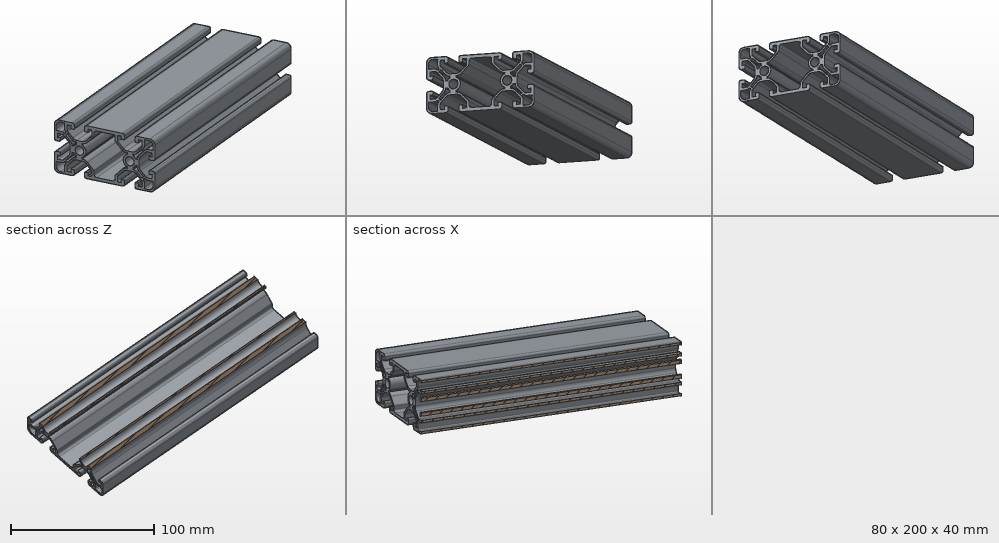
import cadquery as cq
import math

length = 200.0
cell = 40.0
half_cell = cell / 2
outer_radius = 4.0

mouth_half = 4.0
lip_width = 2.8
lip_depth = 4.8
lip_outer_radius = 1.8
lip_tip_radius = 1.0
pocket_half = 9.8
pocket_radius = 1.0
pocket_knee_radius = 1.2
floor_height = 7.5
floor_radius = 4.5
face_thickness = 2.5

side_web = 1.9
slope_web = 0.75
floor_web = 1.5
tie_web = 0.7

corner_wall = 1.5
corner_cavity_radius = 3.5
corner_side_radius = 0.8
corner_knee_radius = 2.2
corner_tie_radius = 0.5
diagonal_spoke_half = 2.5
central_spoke_half = 2.0
central_corner_radius = 2.0
central_knee_radius = 1.2

bore_radius = 3.5
boss_radius = 5.2

root2 = math.sqrt(8)
slope_offset = 3.5
cavity_side = pocket_half + side_web
cavity_slope = slope_offset - slope_web * root2
cavity_knee = cavity_side + cavity_slope
cavity_floor = floor_height - floor_web
cavity_floor_end = cavity_floor - cavity_slope

tie_inner_sum = 20.5
tie_outer_sum = tie_inner_sum + tie_web * root2

shortest_line = 2e-06


def rounded_corner(before, corner, after, radius):
    """Start, middle and end of the arc that rounds one corner."""
    to_before = (before - corner).normalized()
    to_after = (after - corner).normalized()
    half_angle = to_before.getAngle(to_after) / 2
    setback = radius / math.tan(half_angle)
    bisector = (to_before + to_after).normalized()
    middle = corner + bisector * (radius / math.sin(half_angle) - radius)
    return corner + to_before * setback, middle, corner + to_after * setback


def rounded_prism(corners):
    """Prism along Y over a closed polygon of (x, z, corner radius) entries, the first one sharp."""
    points = [cq.Vector(x, z) for x, z, _ in corners]
    position = points[0]
    outline = cq.Workplane("XZ").moveTo(position.x, position.y)
    for i in range(1, len(corners)):
        radius = corners[i][2]
        start = middle = end = points[i]
        if radius > 0:
            following = points[(i + 1) % len(points)]
            start, middle, end = rounded_corner(points[i - 1], points[i], following, radius)
        if (start - position).Length > shortest_line:
            outline = outline.lineTo(start.x, start.y)
        if radius > 0:
            outline = outline.threePointArc((middle.x, middle.y), (end.x, end.y))
        position = end
    return outline.close().extrude(length / 2, both=True)


def with_mirror_in_x(corners):
    return corners + [(-x, z, radius) for x, z, radius in reversed(corners)]


def with_mirror_in_z(corners):
    return corners + [(x, -z, radius) for x, z, radius in reversed(corners)]


def with_mirror_in_diagonal(corners):
    return corners + [(z, x, radius) for x, z, radius in reversed(corners)]


def rod(x, radius):
    """Full-length cylinder along Y."""
    return cq.Workplane("XZ").center(x, 0).circle(radius).extrude(length / 2, both=True)


def placed(body, angle, x):
    """Body turned about the cell axis, then moved to its cell."""
    return body.rotate((0, 0, 0), (0, 1, 0), angle).translate((x, 0, 0))


def groove():
    """Groove opening toward +Z."""
    lip_inner = mouth_half + lip_width
    lip_bottom = half_cell - lip_depth
    pocket_top = half_cell - face_thickness
    return rounded_prism(with_mirror_in_x([
        (mouth_half + lip_outer_radius, half_cell, 0),
        (mouth_half, half_cell, lip_outer_radius),
        (mouth_half, lip_bottom, lip_tip_radius),
        (lip_inner, lip_bottom, 0),
        (lip_inner, pocket_top, 0),
        (pocket_half, pocket_top, pocket_radius),
        (pocket_half, pocket_half + slope_offset, pocket_knee_radius),
        (floor_height - slope_offset, floor_height, floor_radius),
    ]))


def corner_cavity():
    """Hollow in the +X +Z corner of a cell, closed by the tie web on its inner side."""
    outer = half_cell - corner_wall
    middle = (outer + cavity_side) / 2
    tie_low = (tie_outer_sum - cavity_slope) / 2
    tie_high = (tie_outer_sum + cavity_slope) / 2
    inner_half = with_mirror_in_diagonal([
        (outer, cavity_side, corner_side_radius),
        (cavity_knee, cavity_side, corner_knee_radius),
        (tie_high, tie_low, corner_tie_radius),
    ])
    return rounded_prism([(outer, middle, 0)] + inner_half + [(outer, outer, corner_cavity_radius)])


def diagonal_cavity():
    """Narrow hollow between two groove slopes, from the tie web to the screw boss."""
    tie_low = (tie_inner_sum - cavity_slope) / 2
    tie_high = (tie_inner_sum + cavity_slope) / 2
    upper_half = [
        (tie_low, tie_high, 0),
        (cavity_floor_end, cavity_floor, floor_radius),
        (diagonal_spoke_half, cavity_floor, 0),
        (diagonal_spoke_half, diagonal_spoke_half, 0),
    ]
    lower_half = [(z, x, radius) for x, z, radius in reversed(upper_half[:-1])]
    return rounded_prism(upper_half + lower_half)


def central_cavity():
    """Large hollow between the screw channels, shared by the two cells."""
    top = half_cell - face_thickness
    quarter = [
        (0, top, 0),
        (half_cell - cavity_side, top, central_corner_radius),
        (half_cell - cavity_side, cavity_knee, central_knee_radius),
        (half_cell - cavity_floor_end, cavity_floor, floor_radius + floor_web),
        (half_cell - central_spoke_half, cavity_floor, 0),
    ]
    right_half = rounded_prism(with_mirror_in_z(quarter))
    return right_half.union(right_half.mirror("YZ"))


result = (
    cq.Workplane("XY")
    .box(2 * cell, length, cell)
    .edges("|Y")
    .fillet(outer_radius)
    .cut(central_cavity())
)

for side in (-1, 1):
    cell_x = side * half_cell

    for angle in (0, 180, side * 90):
        result = result.cut(placed(groove(), angle, cell_x))

    for angle in (90 - side * 90, 180 - side * 90):
        for hollow in (corner_cavity(), diagonal_cavity()):
            result = result.cut(placed(hollow, angle, cell_x))

    result = result.union(rod(cell_x, boss_radius)).cut(rod(cell_x, bore_radius))